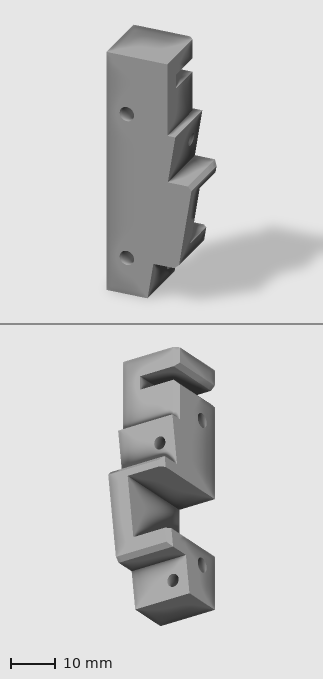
import cadquery as cq
import math

height = 59.5
thickness = 14.6
width = 20.75

slope = math.tan(math.radians(9))
edge_chamfer = 1.0
foot_width = 10.05
head_width = 14.9
jaw_bottom_z = 8.9
jaw_top_z = 30.05
head_bottom_z = 41.65
step_width = 16.85

chamfer_drop = edge_chamfer * math.cos(math.atan(slope))
jaw_corner_x = width + chamfer_drop * slope
jaw_bottom_x = jaw_corner_x - (jaw_top_z - jaw_bottom_z) * slope
throat_x = step_width - (head_bottom_z - jaw_top_z) * slope
foot_top_x = foot_width + jaw_bottom_z * slope

slot_bottom_z = 51.35
slot_top_z = 54.7
slot_floor_y = 4.6
window_bottom_z = 13.2
window_top_z = 27.5
window_floor_y = 5.05

front_hole_diameter = 3.5
front_hole_x = 5.0
front_hole_heights = (9.05, 45.0)
side_hole_diameter = 3.0
side_hole_y = 10.6
side_hole_heights = (4.05, 36.0)


def near_edge(x, y, z):
    return cq.selectors.NearestToPointSelector((x, y, z))


def make_body():
    body = (
        cq.Workplane("XZ")
        .polyline([
            (0, 0),
            (foot_width, 0),
            (foot_top_x, jaw_bottom_z),
            (jaw_bottom_x, jaw_bottom_z),
            (jaw_corner_x, jaw_top_z),
            (throat_x, jaw_top_z),
            (step_width, head_bottom_z),
            (head_width, head_bottom_z),
            (head_width, height),
            (0, height),
        ])
        .close()
        .extrude(-thickness)
    )
    for x, z in ((jaw_corner_x, jaw_top_z), (jaw_bottom_x, jaw_bottom_z)):
        body = body.edges(near_edge(x, thickness / 2, z)).chamfer(edge_chamfer)
    jaw_middle_x = (jaw_corner_x + jaw_bottom_x) / 2
    jaw_middle_z = (jaw_top_z + jaw_bottom_z) / 2
    head_middle_z = (head_bottom_z + height) / 2
    for x, z in ((jaw_middle_x, jaw_middle_z), (head_width, head_middle_z)):
        body = body.edges(near_edge(x, thickness, z)).chamfer(edge_chamfer)
    return body


def make_slot():
    flare_start_y = thickness - edge_chamfer
    return (
        cq.Workplane("YZ")
        .polyline([
            (slot_floor_y, slot_bottom_z),
            (flare_start_y, slot_bottom_z),
            (thickness, slot_bottom_z - edge_chamfer),
            (thickness, slot_top_z + edge_chamfer),
            (flare_start_y, slot_top_z),
            (slot_floor_y, slot_top_z),
        ])
        .close()
        .extrude(width)
    )


def make_window():
    window_depth = thickness - window_floor_y
    window_height = window_top_z - window_bottom_z
    return (
        cq.Workplane("XY")
        .box(width, window_depth, window_height, centered=False)
        .translate((0, window_floor_y, window_bottom_z))
    )


def make_front_holes():
    centres = [(front_hole_x, z) for z in front_hole_heights]
    return (
        cq.Workplane("XZ")
        .pushPoints(centres)
        .circle(front_hole_diameter / 2)
        .extrude(-thickness)
    )


def make_side_holes():
    centres = [(side_hole_y, z) for z in side_hole_heights]
    return (
        cq.Workplane("YZ")
        .pushPoints(centres)
        .circle(side_hole_diameter / 2)
        .extrude(width)
    )


result = (
    make_body()
    .cut(make_slot())
    .cut(make_window())
    .cut(make_front_holes())
    .cut(make_side_holes())
)